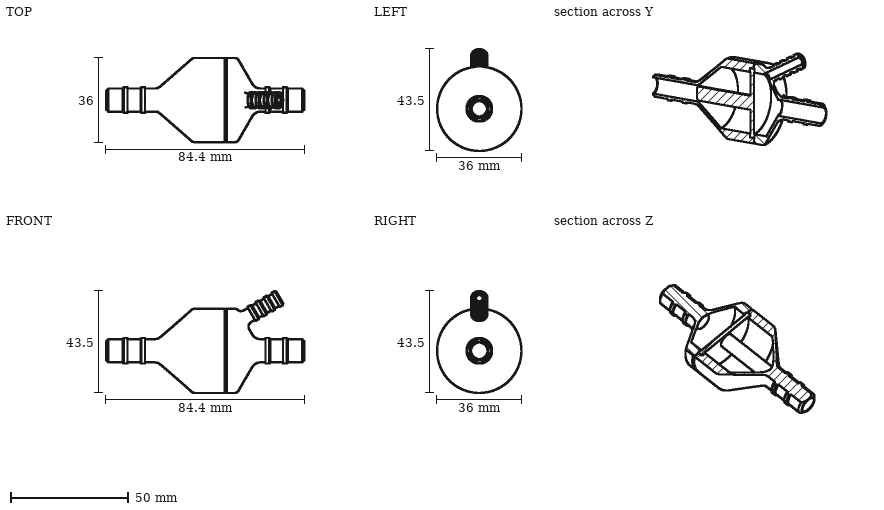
import cadquery as cq
import math

TOTAL_LENGTH = 84.4
TOTAL_HEIGHT = 43.5
BARB_LENGTH = 2.0

TUBE_DIA = 10.0
BORE_DIA = 7.0
TIP_CHAMFER = 1.0
BARB_DIA = 11.0
FIRST_BARB_START = 7.0
BARB_PITCH = 7.5
BARBS_PER_TUBE = 2

SHELL_DIA = 36.0
CHAMBER_DIA = 27.2
INLET_CONE_START = 22.0
INLET_CONE_END = 37.0
OUTLET_CONE_END = 63.4
OUTLET_CONE_ANGLE = 60.0
CONE_FOOT_RADIUS = 4.0
SHELL_EDGE_RADIUS = 2.0

JOINT_X = 50.8
GROOVE_DEPTH = 0.5
GROOVE_FLOOR = 0.2

PORT_ANGLE = 30.0
PORT_TIP_X = 73.9
PORT_LENGTH = 18.6
PORT_DIA = 6.0
PORT_BARB_DIA = 7.0
PORT_BARB_PITCH = 4.0
PORT_BARB_COUNT = 4
PORT_BORE_DIA = 3.0
PORT_BORE_DEPTH = 21.1
PORT_COUNTERSINK = 0.5
PORT_FOOT_RADIUS = 2.0

STEM_DIA = 6.5
NOSE_RADIUS = 0.9
DISC_DIA = 30.55
DISC_THICKNESS = 2.0

TOLERANCE = 0.001

TUBE_R = TUBE_DIA / 2
BORE_R = BORE_DIA / 2
BARB_R = BARB_DIA / 2
SHELL_R = SHELL_DIA / 2
CHAMBER_R = CHAMBER_DIA / 2
PORT_R = PORT_DIA / 2
PORT_BARB_R = PORT_BARB_DIA / 2
TUBE_WALL = TUBE_R - BORE_R

PORT_AXIS = cq.Vector(math.cos(math.radians(PORT_ANGLE)), 0, math.sin(math.radians(PORT_ANGLE)))
PORT_TOP_ABOVE_TIP = PORT_BARB_R * PORT_AXIS.x - (PORT_BARB_R - PORT_R) * PORT_AXIS.z
PORT_TIP = cq.Vector(PORT_TIP_X, 0, TOTAL_HEIGHT - SHELL_R - PORT_TOP_ABOVE_TIP)

INLET_CONE_ANGLE = math.degrees(math.atan2(SHELL_R - TUBE_R, INLET_CONE_END - INLET_CONE_START))
OUTLET_CONE_START = OUTLET_CONE_END - (SHELL_R - TUBE_R) / math.tan(math.radians(OUTLET_CONE_ANGLE))
BARB_STARTS = [FIRST_BARB_START + i * BARB_PITCH for i in range(BARBS_PER_TUBE)]


def revolve_about_x(points):
    """Turn a closed (x, radius) outline about the X axis."""
    return cq.Workplane("XY").polyline(points).close().revolve(360, (0, 0, 0), (1, 0, 0))


def round_rim(body, x, radius, fillet):
    """Fillet the circular edge of the given radius in the plane at x."""
    def on_rim(edge):
        box = edge.BoundingBox()
        return (
            edge.geomType() == "CIRCLE"
            and abs(edge.radius() - radius) < TOLERANCE
            and abs(box.xmin - x) < TOLERANCE
            and abs(box.xmax - x) < TOLERANCE
        )

    return body.newObject([edge for edge in body.edges().vals() if on_rim(edge)]).fillet(fillet)


def barb(start, foot_r, crest_r):
    """Solid ring for a tube along X: ramp on the low-x side, square step on the other."""
    ramp = crest_r - foot_r
    end = start + BARB_LENGTH
    return revolve_about_x([(start, 0), (start, foot_r), (start + ramp, crest_r), (end, crest_r), (end, 0)])


def tube_barbs():
    """The barbs of the inlet tube as one list."""
    return [barb(start, TUBE_R, BARB_R) for start in BARB_STARTS]


def to_outlet(body):
    """Mirror an inlet shape onto the outlet end."""
    return body.mirror("YZ", (TOTAL_LENGTH / 2, 0, 0))


def chamber_cone_offset(cone_angle):
    """Axial shift that keeps the chamber cone one tube wall inside the outer cone."""
    return TUBE_WALL * math.tan(math.radians(cone_angle) / 2)


def housing_chamber():
    """Inlet bore, housing half of the chamber and the disc recess at the joint."""
    chamber_start = INLET_CONE_START + chamber_cone_offset(INLET_CONE_ANGLE)
    cone_length = (CHAMBER_R - BORE_R) / math.tan(math.radians(INLET_CONE_ANGLE))
    disc_seat = JOINT_X - DISC_THICKNESS
    return revolve_about_x([
        (0, 0),
        (0, BORE_R),
        (chamber_start, BORE_R),
        (chamber_start + cone_length, CHAMBER_R),
        (disc_seat, CHAMBER_R),
        (disc_seat, DISC_DIA / 2),
        (JOINT_X, DISC_DIA / 2),
        (JOINT_X, 0),
    ])


def make_housing():
    body = revolve_about_x([
        (0, 0),
        (0, TUBE_R - TIP_CHAMFER),
        (TIP_CHAMFER, TUBE_R),
        (INLET_CONE_START, TUBE_R),
        (INLET_CONE_END, SHELL_R),
        (JOINT_X - GROOVE_DEPTH, SHELL_R),
        (JOINT_X, SHELL_R - GROOVE_DEPTH),
        (JOINT_X, 0),
    ])
    body = round_rim(body, INLET_CONE_START, TUBE_R, CONE_FOOT_RADIUS)
    body = round_rim(body, INLET_CONE_END, SHELL_R, SHELL_EDGE_RADIUS)
    for ring in tube_barbs():
        body = body.union(ring)

    return body.cut(housing_chamber())


def place_port(body):
    """Move a shape whose tip is at x = 0 and which runs along +X onto the side port."""
    return body.rotate((0, 0, 0), (0, 1, 0), 180 - PORT_ANGLE).translate(PORT_TIP)


def port_barbs():
    """The barbs of the side port as one list."""
    return [place_port(barb(i * PORT_BARB_PITCH, PORT_R, PORT_BARB_R)) for i in range(PORT_BARB_COUNT)]


def port_passage():
    """Countersunk bore from the port tip into the chamber."""
    bore_r = PORT_BORE_DIA / 2
    return place_port(revolve_about_x([
        (0, 0),
        (0, bore_r + PORT_COUNTERSINK),
        (PORT_COUNTERSINK, bore_r),
        (PORT_BORE_DEPTH, bore_r),
        (PORT_BORE_DEPTH, 0),
    ]))


def is_port_foot(edge):
    """True for the curved edges where the port shaft runs into the cap."""
    from_tip = edge.positionAt(0.5) - PORT_TIP
    on_shaft = abs(from_tip.cross(PORT_AXIS).Length - PORT_R) < TOLERANCE
    return on_shaft and edge.geomType() not in ("LINE", "CIRCLE")


def cap_chamber():
    """Cap half of the chamber together with the outlet bore."""
    chamber_end = OUTLET_CONE_END - chamber_cone_offset(OUTLET_CONE_ANGLE)
    cone_length = (CHAMBER_R - BORE_R) / math.tan(math.radians(OUTLET_CONE_ANGLE))
    return revolve_about_x([
        (JOINT_X, 0),
        (JOINT_X, CHAMBER_R),
        (chamber_end - cone_length, CHAMBER_R),
        (chamber_end, BORE_R),
        (TOTAL_LENGTH, BORE_R),
        (TOTAL_LENGTH, 0),
    ])


def make_cap():
    groove_end = JOINT_X + GROOVE_FLOOR + GROOVE_DEPTH
    body = revolve_about_x([
        (JOINT_X, 0),
        (JOINT_X, SHELL_R - GROOVE_DEPTH),
        (JOINT_X + GROOVE_FLOOR, SHELL_R - GROOVE_DEPTH),
        (groove_end, SHELL_R),
        (OUTLET_CONE_START, SHELL_R),
        (OUTLET_CONE_END, TUBE_R),
        (TOTAL_LENGTH - TIP_CHAMFER, TUBE_R),
        (TOTAL_LENGTH, TUBE_R - TIP_CHAMFER),
        (TOTAL_LENGTH, 0),
    ])
    body = round_rim(body, OUTLET_CONE_END, TUBE_R, CONE_FOOT_RADIUS)
    body = round_rim(body, OUTLET_CONE_START, SHELL_R, SHELL_EDGE_RADIUS)

    shaft = place_port(cq.Workplane("YZ").circle(PORT_R).extrude(PORT_LENGTH))
    body = body.union(shaft)
    foot = [edge for edge in body.edges().vals() if is_port_foot(edge)]
    body = body.newObject(foot).fillet(PORT_FOOT_RADIUS)

    for ring in [to_outlet(ring) for ring in tube_barbs()] + port_barbs():
        body = body.union(ring)
    return body.cut(cap_chamber()).cut(port_passage())


def make_core():
    nose_x = INLET_CONE_START
    stem_r = STEM_DIA / 2
    disc_x = JOINT_X - DISC_THICKNESS
    core = revolve_about_x([
        (nose_x, 0),
        (nose_x, stem_r),
        (disc_x, stem_r),
        (disc_x, DISC_DIA / 2),
        (JOINT_X, DISC_DIA / 2),
        (JOINT_X, 0),
    ])
    return round_rim(core, nose_x, stem_r, NOSE_RADIUS)


housing = make_housing()
cap = make_cap()
core = make_core()

result = cq.Compound.makeCompound([housing.val(), cap.val(), core.val()])